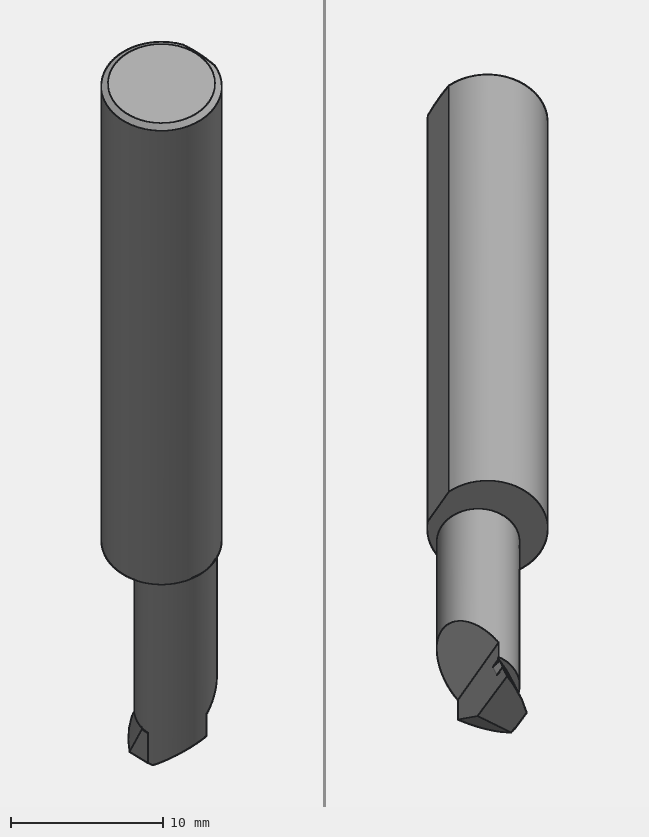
import cadquery as cq
import math

shank_diameter = 7.94
shank_radius = shank_diameter / 2
flat_depth = 0.26
total_length = 63.49
neck_length = 19.05
shank_length = total_length - neck_length
shank_chamfer_width = 0.45
shank_chamfer_angle = 30.0

neck_diameter = 5.46
neck_radius = neck_diameter / 2
neck_center_x = shank_radius - neck_radius

rake_height = 4.97
rake_angle = 45.0

head_height = 3.4
head_protrusion = 0.03
head_front_y = -neck_radius - head_protrusion
tip_x = -2.62

flank_lean_angle = 20.0
flank_setback = 2.1
flank_bulge = 0.15

end_slope_angle = 3.0
end_relief_angle = 6.0
nose_angle = 45.0
nose_height = 2.85

groove_depth = 0.16
groove_floor_angle = 12.0
groove_bottom = 1.7
groove_top = 3.2

overrun = 1.0
trim_size = 4 * shank_diameter


def tan_deg(angle):
    return math.tan(math.radians(angle))


def flank_x(height):
    """X of the flank edge on the plane Y = 0 at a given height."""
    return tip_x + height * tan_deg(flank_lean_angle)


def extrude_along_flank(outline, height):
    """Raise a closed outline by a height while leaning it over with the flank."""
    rise = cq.Vector(height * tan_deg(flank_lean_angle), 0, height)
    return cq.Workplane(obj=cq.Solid.extrudeLinear(outline.wire().val(), [], rise))


def make_shank():
    chamfer_height = shank_chamfer_width * tan_deg(shank_chamfer_angle)
    bar = (
        cq.Workplane("XY", origin=(0, 0, neck_length))
        .circle(shank_radius)
        .extrude(shank_length)
        .faces(">Z")
        .chamfer(chamfer_height, shank_chamfer_width)
    )
    flat = (
        cq.Workplane("XY", origin=(0, shank_radius, neck_length))
        .rect(shank_diameter, 2 * flat_depth)
        .extrude(shank_length)
    )
    return bar.cut(flat)


def make_neck():
    return (
        cq.Workplane("XY", origin=(neck_center_x, 0, 0))
        .circle(neck_radius)
        .extrude(neck_length)
    )


def make_head_block():
    """Block that carries the cutting point out beyond the neck."""
    return (
        cq.Workplane("XY")
        .moveTo(tip_x, 0)
        .lineTo(tip_x, head_front_y)
        .lineTo(neck_center_x, head_front_y)
        .lineTo(neck_center_x, 0)
        .close()
        .extrude(head_height)
    )


def make_rake_cut():
    """Half of the neck on the +Y side, ending in a slope."""
    depth = neck_radius + overrun
    return (
        cq.Workplane("YZ", origin=(-trim_size / 2, 0, 0))
        .moveTo(0, -overrun)
        .lineTo(depth, -overrun)
        .lineTo(depth, rake_height + depth * tan_deg(rake_angle))
        .lineTo(0, rake_height)
        .close()
        .extrude(trim_size)
    )


def make_flank_cut():
    """Everything on the -X side of the leaning, convex flank."""
    chord = math.hypot(flank_setback, head_front_y)
    middle = (
        tip_x + flank_setback / 2 + flank_bulge * head_front_y / chord,
        head_front_y / 2 - flank_bulge * flank_setback / chord,
    )
    outer_x = tip_x - shank_diameter
    outline = (
        cq.Workplane("XY")
        .moveTo(tip_x, 0)
        .threePointArc(middle, (tip_x + flank_setback, head_front_y))
        .lineTo(tip_x + flank_setback, head_front_y - overrun)
        .lineTo(outer_x, head_front_y - overrun)
        .lineTo(outer_x, 0)
        .close()
    )
    return extrude_along_flank(outline, head_height)


def make_trim(point, slope_angle, relief_angle):
    """Everything below a plane through the point, sloping up to +X and up to -Y."""
    slope = math.radians(slope_angle)
    along = cq.Vector(math.cos(slope), 0, math.sin(slope))
    outward = cq.Vector(math.sin(slope), -tan_deg(relief_angle), -math.cos(slope))
    plane = cq.Plane(origin=point, xDir=along, normal=outward)
    return cq.Workplane(plane).rect(trim_size, trim_size).extrude(trim_size)


def make_chip_groove():
    """Wedge of constant section that follows the leaning flank edge."""
    edge_x = flank_x(groove_bottom)
    deep_x = edge_x - overrun
    shallow_x = edge_x + groove_depth / tan_deg(groove_floor_angle)
    deep_y = (deep_x - shallow_x) * tan_deg(groove_floor_angle)
    outline = (
        cq.Workplane("XY", origin=(0, 0, groove_bottom))
        .moveTo(shallow_x, 0)
        .lineTo(deep_x, deep_y)
        .lineTo(deep_x, 0)
        .close()
    )
    return extrude_along_flank(outline, groove_top - groove_bottom)


bar = make_shank().union(make_neck()).union(make_head_block())
result = (
    bar.cut(make_rake_cut())
    .cut(make_flank_cut())
    .cut(make_trim((tip_x, 0, 0), end_slope_angle, end_relief_angle))
    .cut(make_trim((shank_radius, 0, nose_height), nose_angle, 0))
    .cut(make_chip_groove())
)